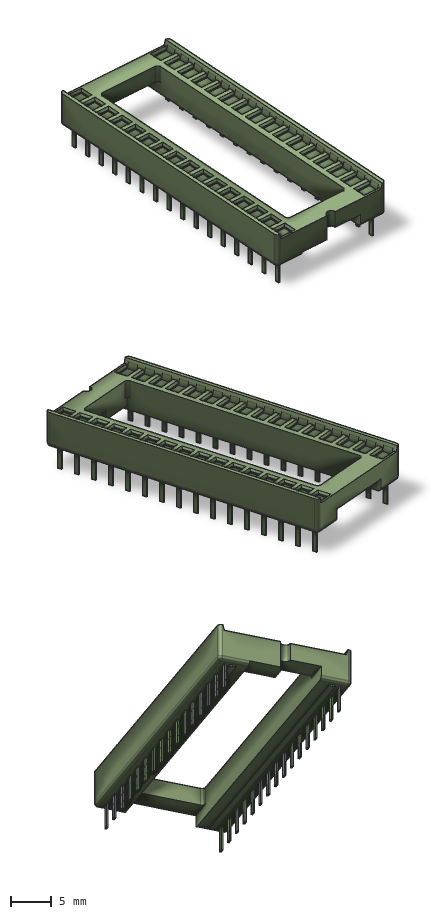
import cadquery as cq

PITCH = 2.54
CONTACTS_PER_ROW = 16
ROW_SPACING = 15.24

LENGTH = CONTACTS_PER_ROW * PITCH
WIDTH = 17.7
BODY_HEIGHT = 4.85
CORNER_RADIUS = 0.5
BOTTOM_RADIUS = 0.5
DECK_DROP = 0.75
RAIL_TOP_WIDTH = 0.55
RAIL_FOOT_WIDTH = 0.75
DECK_Z = BODY_HEIGHT - DECK_DROP

WINDOW_LENGTH = 35.2
WINDOW_WIDTH = 9.5
WINDOW_CORNER_RADIUS = 0.5
END_WALL = (LENGTH - WINDOW_LENGTH) / 2
ARCH_HEIGHT = 1.75
TONGUE_BOTTOM_Z = 0.5
TONGUE_EDGE_Y = -0.28
KEY_NOTCH_RADIUS = 0.65

SHAFT_LENGTH = 1.38
SHAFT_INNER_INSET = 2.98
SHAFT_FLOOR_INSET = 0.87
POCKET_DEPTH = 0.5
RAIL_CUT_HEIGHT = 0.3
MOUTH_BEVEL = 0.27
MOUTH_BEVEL_DEPTH = 0.27

RIB_HEIGHT = 0.2
RIB_WIDTH = 0.83
RIB_END_INSET = 0.9
RIB_OUTER_INSET = 1.85

PIN_WIDTH = 0.6
PIN_THICKNESS = 0.2
PIN_LENGTH = 3.25
PIN_EMBED = 1.0


def box(x_range, y_range, z_range):
    """Axis-aligned box between the given limits."""
    limits = (x_range, y_range, z_range)
    lows = tuple(low for low, _ in limits)
    size = [high - low for low, high in limits]
    return cq.Workplane("XY").box(*size, centered=False).translate(lows)


def both_sides(shape):
    """The shape together with its mirror image across the XZ plane."""
    return shape.union(shape.mirror("XZ"))


def contact_positions():
    """X positions of the contacts in one row."""
    middle = (CONTACTS_PER_ROW - 1) / 2
    return [(index - middle) * PITCH for index in range(CONTACTS_PER_ROW)]


def make_body():
    """Rounded block with the deck sunk between two rails with sloped inner faces."""
    body = cq.Workplane("XY").box(LENGTH, WIDTH, BODY_HEIGHT, centered=(True, True, False))
    body = body.edges("|Z").fillet(CORNER_RADIUS)
    body = body.faces("<Z").edges().fillet(BOTTOM_RADIUS)
    foot_y = WIDTH / 2 - RAIL_FOOT_WIDTH
    top_y = WIDTH / 2 - RAIL_TOP_WIDTH
    channel = (
        cq.Workplane("YZ")
        .polyline([
            (-foot_y, DECK_Z), (foot_y, DECK_Z),
            (top_y, BODY_HEIGHT), (-top_y, BODY_HEIGHT),
        ])
        .close()
        .extrude(LENGTH / 2, both=True)
    )
    return body.cut(channel)


def make_window():
    """Central through opening."""
    window = cq.Workplane("XY").box(WINDOW_LENGTH, WINDOW_WIDTH, BODY_HEIGHT, centered=(True, True, False))
    return window.edges("|Z").fillet(WINDOW_CORNER_RADIUS)


def make_arches():
    """Openings under both end walls; a tongue hangs into the one at +X."""
    half_width = WINDOW_WIDTH / 2
    arches = box((-LENGTH / 2, LENGTH / 2), (-half_width, half_width), (0, ARCH_HEIGHT))
    tongue = box(
        (LENGTH / 2 - END_WALL, LENGTH / 2),
        (-half_width, TONGUE_EDGE_Y),
        (TONGUE_BOTTOM_Z, ARCH_HEIGHT),
    )
    return arches.cut(tongue)


def make_key_notch():
    """Half-round orientation notch in the +X end wall."""
    return cq.Workplane("XY").center(LENGTH / 2, 0).circle(KEY_NOTCH_RADIUS).extrude(BODY_HEIGHT)


def rail_inset(z):
    """Distance from the outer side face to the sloped rail plane at height z."""
    slope = (RAIL_FOOT_WIDTH - RAIL_TOP_WIDTH) / DECK_DROP
    return RAIL_FOOT_WIDTH + slope * (DECK_Z - z)


def make_shaft():
    """Pocket shaft of the +Y row; its leaning outer wall just bites into the rail."""
    side_y = WIDTH / 2
    floor_z = DECK_Z - POCKET_DEPTH
    top_z = DECK_Z + RAIL_CUT_HEIGHT
    inner_y = side_y - SHAFT_INNER_INSET
    return (
        cq.Workplane("YZ")
        .polyline([
            (inner_y, floor_z),
            (side_y - SHAFT_FLOOR_INSET, floor_z),
            (side_y - rail_inset(top_z), top_z),
            (inner_y, top_z),
        ])
        .close()
        .extrude(SHAFT_LENGTH / 2, both=True)
    )


def make_mouth():
    """Beveled pocket mouth of the +Y row; its outer end follows the rail plane."""
    side_y = WIDTH / 2
    bottom_z = DECK_Z - MOUTH_BEVEL_DEPTH
    inner_y = side_y - SHAFT_INNER_INSET
    bottom_outer_y = side_y - rail_inset(bottom_z)
    top_inner_y = inner_y - MOUTH_BEVEL
    top_outer_y = side_y - RAIL_FOOT_WIDTH
    bottom_center_y = (inner_y + bottom_outer_y) / 2
    top_center_y = (top_inner_y + top_outer_y) / 2
    return (
        cq.Workplane("XY", origin=(0, bottom_center_y, bottom_z))
        .rect(SHAFT_LENGTH, bottom_outer_y - inner_y)
        .workplane(offset=MOUTH_BEVEL_DEPTH)
        .center(0, top_center_y - bottom_center_y)
        .rect(SHAFT_LENGTH + 2 * MOUTH_BEVEL, top_outer_y - top_inner_y)
        .loft(ruled=True)
    )


def make_rib():
    """Standoff rib of the +Y row."""
    half_length = LENGTH / 2 - RIB_END_INSET
    outer_y = WIDTH / 2 - RIB_OUTER_INSET
    return box((-half_length, half_length), (outer_y - RIB_WIDTH, outer_y), (-RIB_HEIGHT, BOTTOM_RADIUS))


def make_pin():
    """Flat pin of the +Y row, centered on X = 0."""
    y = ROW_SPACING / 2
    return box(
        (-PIN_WIDTH / 2, PIN_WIDTH / 2),
        (y - PIN_THICKNESS / 2, y + PIN_THICKNESS / 2),
        (-PIN_LENGTH, PIN_EMBED),
    )


body = make_body().cut(make_window()).cut(make_arches()).cut(make_key_notch())
body = body.union(both_sides(make_rib()))
pocket_pair = both_sides(make_shaft().union(make_mouth()))
pin_pair = both_sides(make_pin())
for x in contact_positions():
    body = body.cut(pocket_pair.translate((x, 0, 0)))
    body = body.union(pin_pair.translate((x, 0, 0)))

result = body